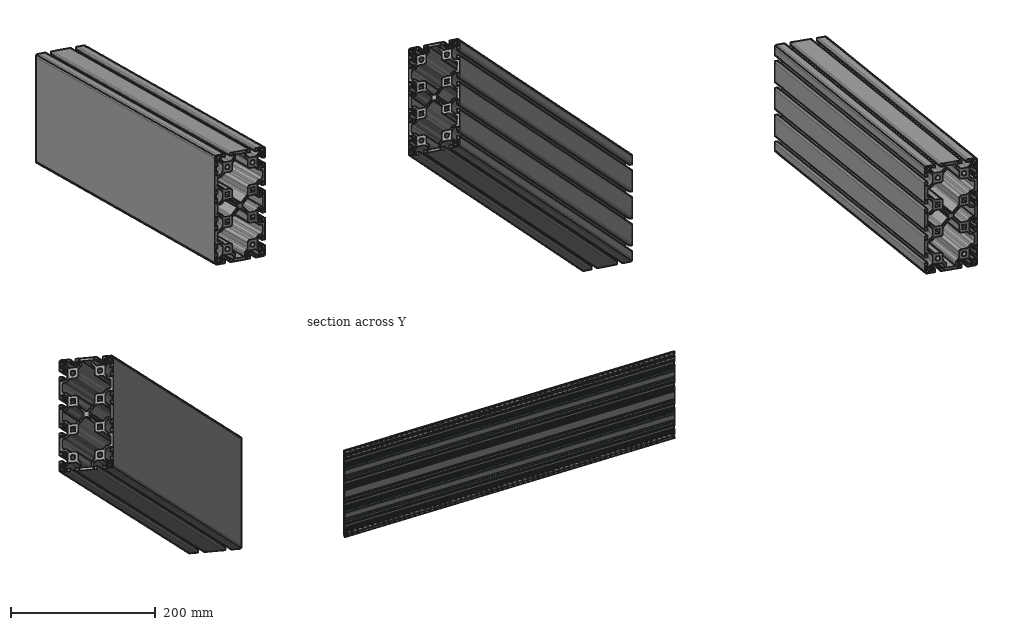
import cadquery as cq
import math

LENGTH = 500.0
WIDTH = 80.0
HEIGHT = 160.0
PITCH = 40.0
SIDE_SLOTS = round(HEIGHT / PITCH)
HALF_WIDTH = WIDTH / 2
HALF_HEIGHT = HEIGHT / 2
CORNER_RADIUS = 4.0

SLOT_HALF_OPENING = 3.9
SLOT_HALF_CAVITY = 10.0
SLOT_DEPTH = 12.25
SLOT_SHOULDER_DEPTH = 8.0
LIP_DEPTH = 4.55
LIP_ROOT_DEPTH = 2.2
LIP_HOOK_WIDTH = 2.8
LIP_EDGE_RADIUS = 1.65
SKIN = 2.0

CORE_OFFSET = PITCH / 2
CORE_CORNER_RADIUS = 4.0
OUTER_BORE_DIAMETER = 6.8
INNER_BORE_WIDTH = 6.4

FACE_WALL = 4.25
SIDE_WALL = 2.75
WEB = 3.5
CENTRAL_WEB = 3.2
CHAMBER_RADIUS = 3.5
BEND_RADIUS = 3.5
HUB_HALF = 4.0
CELL_NEAR = 2.0
CELL_FAR = 8.0

CORE_INNER = PITCH / 2 - (CORE_OFFSET - SLOT_DEPTH)

RECESS_HALF = PITCH / 2 - SLOT_HALF_CAVITY - SIDE_WALL
WEB_SLOT_EDGE = SLOT_SHOULDER_DEPTH - (PITCH / 2 - SLOT_HALF_CAVITY)
WEB_CHAMBER_EDGE = WEB_SLOT_EDGE + WEB * math.sqrt(2)
RECESS_MOUTH_DEPTH = RECESS_HALF + WEB_CHAMBER_EDGE
WEB_ROOT_DEPTH = CORE_INNER + WEB_CHAMBER_EDGE
HUB_WEB_SHIFT = CENTRAL_WEB / math.sqrt(2)


def section():
    """Cross-section plane at the -X end: its axes are Y and Z."""
    return cq.Workplane("YZ", origin=(-LENGTH / 2, 0, 0))


def prism(points):
    return section().polyline(points).close().extrude(LENGTH)


def mirrored(places):
    """The given places together with their images across the vertical centre line."""
    return places + [(-u, v) for u, v in places]


def round_edges(body, places, radius):
    """Fillet the lengthwise edges at the given (y, z) places."""
    for y, z in places:
        body = body.edges(cq.selectors.NearestToPointSelector((0, y, z))).fillet(radius)
    return body


def slot_opening():
    """Gap between the lips, flared by their rounded edges; the face is at height 0."""
    flare = SLOT_HALF_OPENING + LIP_EDGE_RADIUS
    return (
        section()
        .moveTo(-flare, 0)
        .lineTo(flare, 0)
        .radiusArc((SLOT_HALF_OPENING, -LIP_EDGE_RADIUS), -LIP_EDGE_RADIUS)
        .lineTo(SLOT_HALF_OPENING, -LIP_DEPTH)
        .lineTo(-SLOT_HALF_OPENING, -LIP_DEPTH)
        .lineTo(-SLOT_HALF_OPENING, -LIP_EDGE_RADIUS)
        .radiusArc((-flare, 0), -LIP_EDGE_RADIUS)
        .close()
        .extrude(LENGTH)
    )


def closed_slot_opening():
    """Gap between the lips that stops at the outer skin."""
    return prism([
        (-SLOT_HALF_OPENING, -SKIN),
        (SLOT_HALF_OPENING, -SKIN),
        (SLOT_HALF_OPENING, -LIP_DEPTH),
        (-SLOT_HALF_OPENING, -LIP_DEPTH),
    ])


def slot_cavity():
    """Wide part of the slot, with a 45 degree groove behind each lip hook."""
    hook = SLOT_HALF_OPENING + LIP_HOOK_WIDTH
    groove = hook + LIP_DEPTH - LIP_ROOT_DEPTH
    floor_half = SLOT_HALF_CAVITY - (SLOT_DEPTH - SLOT_SHOULDER_DEPTH)
    side = [
        (hook, -LIP_DEPTH),
        (groove, -LIP_ROOT_DEPTH),
        (SLOT_HALF_CAVITY, -LIP_ROOT_DEPTH),
        (SLOT_HALF_CAVITY, -SLOT_SHOULDER_DEPTH),
        (floor_half, -SLOT_DEPTH),
    ]
    cavity = prism(side + [(-u, v) for u, v in reversed(side)])
    bends = mirrored([(SLOT_HALF_CAVITY, -SLOT_SHOULDER_DEPTH), (floor_half, -SLOT_DEPTH)])
    return round_edges(cavity, bends, BEND_RADIUS)


def place_slot(slot, turn, y, z):
    """Turn a slot about X and move its face centre to (y, z)."""
    return slot.rotate((0, 0, 0), (1, 0, 0), turn).translate((0, y, z))


def end_chamber():
    """Large chamber at the +Z end, reaching down to the upper central webs."""
    top = HALF_HEIGHT
    recess_z = PITCH
    mouth_y = HALF_WIDTH - RECESS_MOUTH_DEPTH
    root_y = HALF_WIDTH - WEB_ROOT_DEPTH
    floor_y = HALF_WIDTH - FACE_WALL
    core_top = recess_z + CORE_INNER
    core_bottom = recess_z - CORE_INNER
    recess_top = recess_z + RECESS_HALF
    recess_bottom = recess_z - RECESS_HALF

    top_bends = [(RECESS_HALF, top - RECESS_MOUTH_DEPTH), (CORE_INNER, top - WEB_ROOT_DEPTH)]
    upper_bends = [(root_y, core_top), (mouth_y, recess_top)]
    lower_bends = [(mouth_y, recess_bottom), (root_y, core_bottom)]
    recess_corners = [(floor_y, recess_top), (floor_y, recess_bottom)]
    hub_bend = (CORE_INNER, CORE_INNER + HUB_WEB_SHIFT)
    upper_core_corner = (CORE_INNER, core_top)
    lower_core_corner = (CORE_INNER, core_bottom)
    side = [
        (RECESS_HALF, top - FACE_WALL),
        *top_bends,
        upper_core_corner,
        *upper_bends,
        *recess_corners,
        *lower_bends,
        lower_core_corner,
        hub_bend,
        (HUB_HALF - HUB_WEB_SHIFT, HUB_HALF),
    ]
    chamber = prism(side + [(-y, z) for y, z in reversed(side)])
    bends = top_bends + upper_bends + lower_bends + [hub_bend]
    chamber = round_edges(chamber, mirrored(bends), BEND_RADIUS)
    chamber = round_edges(chamber, mirrored([upper_core_corner, lower_core_corner]), CORE_CORNER_RADIUS)
    return round_edges(chamber, mirrored(recess_corners), CHAMBER_RADIUS)


def middle_chamber():
    """Chamber on the +Y side of the central hub."""
    bends = [
        (CORE_INNER + HUB_WEB_SHIFT, CORE_INNER),
        (HALF_WIDTH - WEB_ROOT_DEPTH, CORE_INNER),
        (HALF_WIDTH - RECESS_MOUTH_DEPTH, RECESS_HALF),
    ]
    side = [
        (HUB_HALF, HUB_HALF - HUB_WEB_SHIFT),
        *bends,
        (HALF_WIDTH - FACE_WALL, RECESS_HALF),
    ]
    lower_side = [(y, -z) for y, z in reversed(side)]
    lower_bends = [(y, -z) for y, z in bends]
    return round_edges(prism(side + lower_side), bends + lower_bends, BEND_RADIUS)


def bar():
    block = cq.Workplane("XY").box(LENGTH, WIDTH, HEIGHT)
    return block.edges("|X").fillet(CORNER_RADIUS)


def cut_slots(body):
    cavity = slot_cavity()
    open_slot = cavity.union(slot_opening())
    closed_slot = cavity.union(closed_slot_opening())
    for y in (-PITCH / 2, PITCH / 2):
        body = body.cut(place_slot(open_slot, 0, y, HALF_HEIGHT))
        body = body.cut(place_slot(open_slot, 180, y, -HALF_HEIGHT))
    for row in range(SIDE_SLOTS):
        z = (row + 0.5) * PITCH - HALF_HEIGHT
        body = body.cut(place_slot(open_slot, -90, HALF_WIDTH, z))
        body = body.cut(place_slot(closed_slot, 90, -HALF_WIDTH, z))
    return body


def cut_chambers(body):
    upper = end_chamber()
    right = middle_chamber()
    body = body.cut(upper).cut(upper.mirror("XY"))
    return body.cut(right).cut(right.mirror("XZ"))


def cut_bores(body):
    """Round bores in the four end cores, square ones in the four middle cores."""
    round_bores = (
        section()
        .rect(WIDTH - 2 * CORE_OFFSET, HEIGHT - 2 * CORE_OFFSET, forConstruction=True)
        .vertices()
        .circle(OUTER_BORE_DIAMETER / 2)
        .extrude(LENGTH)
    )
    square_bores = (
        section()
        .rect(PITCH, PITCH, forConstruction=True)
        .vertices()
        .rect(INNER_BORE_WIDTH, INNER_BORE_WIDTH)
        .extrude(LENGTH)
    )
    return body.cut(round_bores).cut(square_bores)


def cut_corner_cells(body):
    cell = CELL_FAR - CELL_NEAR
    inset = CELL_NEAR + CELL_FAR
    cells = (
        section()
        .rect(WIDTH - inset, HEIGHT - inset, forConstruction=True)
        .vertices()
        .rect(cell, cell)
        .extrude(LENGTH)
    )
    return body.cut(cells)


result = cut_corner_cells(cut_bores(cut_chambers(cut_slots(bar())))).solids()